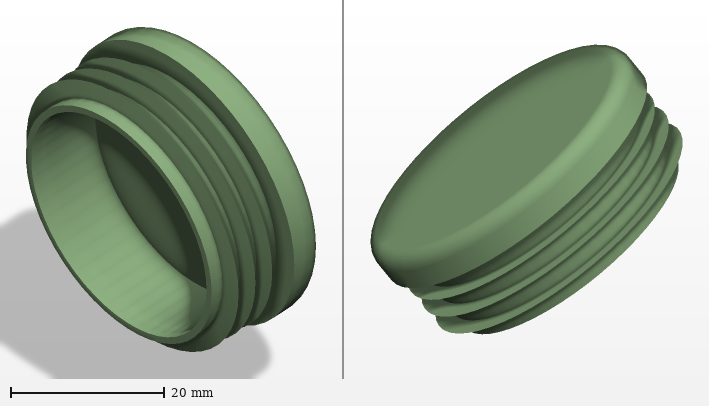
import cadquery as cq


head_diameter = 42.4
head_thickness = 5.0
head_edge_radius = 2.0

overall_length = 16.5
sleeve_length = overall_length - head_thickness
sleeve_diameter = 35.4
bore_diameter = 33.4

fin_diameter = 40.4
fin_root_thickness = 0.5
fin_pitch = 3.0
fin_count = 3


def cylinder(diameter, start_y, length):
    """Solid cylinder on the Y axis, running from start_y towards +Y."""
    plane = cq.Workplane("XZ", origin=(0, start_y, 0))
    return plane.circle(diameter / 2).extrude(-length)


def make_fin(flat_y):
    """Disc with a flat +Y face that tapers from the sleeve to a sharp rim."""
    root_y = flat_y - fin_root_thickness
    return (
        cq.Workplane("XY")
        .moveTo(0, flat_y)
        .lineTo(fin_diameter / 2, flat_y)
        .lineTo(sleeve_diameter / 2, root_y)
        .lineTo(0, root_y)
        .close()
        .revolve(360, (0, 0, 0), (0, 1, 0))
    )


head = cylinder(head_diameter, sleeve_length, head_thickness)
head = head.faces(">Y").edges().fillet(head_edge_radius)
plug = head.union(cylinder(sleeve_diameter, 0, sleeve_length))

for fin_number in range(1, fin_count + 1):
    plug = plug.union(make_fin(sleeve_length - fin_number * fin_pitch))

result = plug.cut(cylinder(bore_diameter, 0, sleeve_length))